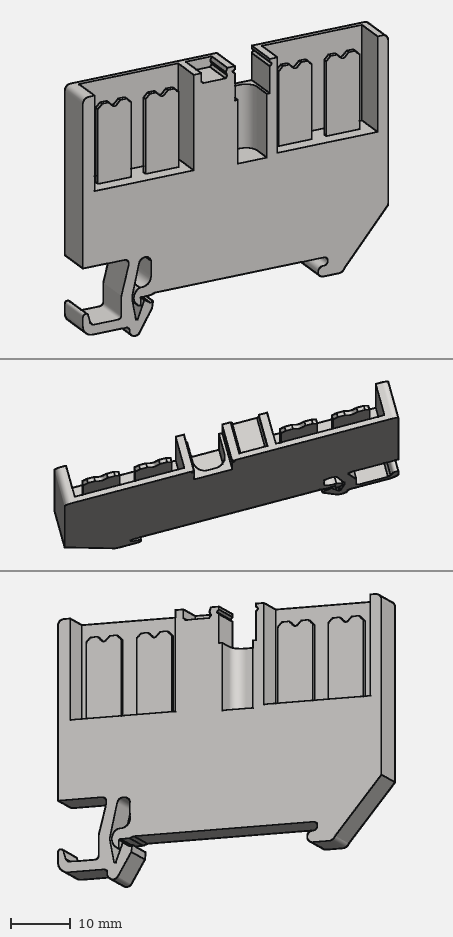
import cadquery as cq
import math

length = 58.0
thickness = 6.5
height = 45.35
half_length = length / 2
side_wall = 0.9
inner_width = thickness - side_wall

top_fillet = 1.1
shoulder_z = 14.25
rail_z = 7.15

notch_width = 6.6
notch_depth = 6.25
notch_y = 3.2
groove_depth = 0.4
groove_below_top = 0.9

round_chamber_width = 5.5
round_chamber_depth = 11.6
round_chamber_radius = 2.1

chamber_depth = 17.4
chamber_spans = ((7.95, 26.95), (-26.8, -7.95))
contact_centers = (21.7, 12.65, -12.65, -21.7)
contact_x = 3.3
contact_thickness = 0.75
contact_width = 6.3
contact_below_top = 2.95
outer_bevel = 0.8
fork_width = 2.2
fork_radius = 0.5

marker_start_y = -1.55
marker_end_y = -6.5
marker_depth = 1.85
marker_bead = 0.3
marker_bead_depth = 0.75
marker_undercut_depth = 1.4
marker_chamfer = 0.35

hook_z = 3.65
hook_tip_z = 5.6

slot_y = -16.05
slot_side_z = 13.1
arm_overlap = 1.15
arm_knee_y = -21.7
arm_knee_z = 7.85
pull_tab_z = 1.85
pull_tab_top_z = 3.65
pull_tab_radius = 1.85
arm_foot_radius = 0.7


def extrude_profile(profile, start_x, width):
    """Extrude a closed Y-Z profile along +X."""
    return profile.close().extrude(width).translate((start_x, 0, 0))


def start_profile(y, z):
    return cq.Workplane("YZ").moveTo(y, z)


def box_from_top(start_y, end_y, top_z, depth):
    """Chamber cutter reaching down from top_z, open towards +X."""
    return cq.Workplane("XY").box(
        inner_width, abs(end_y - start_y), depth, centered=(False, True, False)
    ).translate((side_wall, (start_y + end_y) / 2, top_z - depth))


def make_housing():
    profile = (
        start_profile(-half_length, shoulder_z)
        .lineTo(-half_length, height)
        .lineTo(half_length, height)
        .lineTo(half_length, shoulder_z)
        .lineTo(20.7, 4.4)
        .threePointArc((20.3, 3.9), (19.6, hook_z))
        .lineTo(16.65, hook_z)
        .threePointArc((15.65, 4.65), (16.5, hook_tip_z))
        .lineTo(16.8, hook_tip_z)
        .threePointArc((17.5, 6.4), (16.8, rail_z))
        .lineTo(-15.35, rail_z)
        .lineTo(-16.1, 6.85)
        .lineTo(-17.8, 6.85)
        .lineTo(-18.05, 6.65)
        .lineTo(-18.05, 5.35)
        .lineTo(-18.3, 5.35)
        .threePointArc((-19.3, 7.1), (-18.2, 8.65))
        .lineTo(-17.75, 8.65)
        .threePointArc((-16.55, 9.15), (slot_y, 10.3))
        .lineTo(slot_y, shoulder_z)
    )
    housing = extrude_profile(profile, 0, thickness)
    return housing.faces(">Z").edges("|X").fillet(top_fillet)


def make_latch():
    profile = (
        start_profile(slot_y, shoulder_z + arm_overlap)
        .lineTo(slot_y, slot_side_z)
        .threePointArc((-17.1, 14.0), (-18.4, 13.0))
        .lineTo(-19.65, 7.3)
        .lineTo(-19.65, 6.7)
        .lineTo(-18.9, 2.9)
        .lineTo(-18.6, 2.9)
        .lineTo(-17.35, 6.2)
        .lineTo(-16.1, 5.45)
        .lineTo(-15.65, 5.7)
        .lineTo(-15.85, 4.45)
        .lineTo(-18.25, 0.4)
        .threePointArc((-19.15, 0), (-20.1, 1.05))
        .threePointArc((-20.3, 1.6), (-20.7, pull_tab_z))
        .lineTo(-half_length + pull_tab_radius, pull_tab_z)
        .radiusArc((-half_length, pull_tab_z + pull_tab_radius), pull_tab_radius)
        .lineTo(-half_length, 5.4)
        .threePointArc((-28.5, 5.9), (-27.95, 5.4))
        .lineTo(-27.6, 4.2)
        .lineTo(-27.15, pull_tab_top_z)
        .lineTo(arm_knee_y - arm_foot_radius, pull_tab_top_z)
        .radiusArc((arm_knee_y, pull_tab_top_z + arm_foot_radius), -arm_foot_radius)
        .lineTo(arm_knee_y, arm_knee_z)
        .lineTo(-20.35, 13.0)
        .threePointArc((-20.4, 13.85), (-21.0, shoulder_z))
        .lineTo(-21.0, shoulder_z + arm_overlap)
    )
    return extrude_profile(profile, 0, thickness)


def notch_cutter():
    cutter = cq.Workplane("XY").box(
        thickness, notch_width, notch_depth, centered=(False, True, False)
    ).translate((0, notch_y, height - notch_depth))
    groove_z = height - groove_below_top
    for side in (-1, 1):
        wall_y = notch_y + side * notch_width / 2
        groove = (
            start_profile(wall_y, groove_z + groove_depth)
            .lineTo(wall_y + side * groove_depth, groove_z)
            .lineTo(wall_y, groove_z - groove_depth)
            .lineTo(notch_y, groove_z)
        )
        cutter = cutter.union(extrude_profile(groove, 0, thickness))
    return cutter


def round_chamber_cutter():
    half_width = round_chamber_width / 2
    cutter = box_from_top(
        notch_y - half_width, notch_y + half_width, height - notch_depth, round_chamber_depth
    )
    return cutter.edges("|Z and <X").fillet(round_chamber_radius)


def marker_pocket_cutter():
    floor_z = height - marker_depth
    profile = (
        start_profile(marker_start_y, height)
        .lineTo(marker_start_y - marker_bead, height - marker_bead_depth)
        .lineTo(marker_start_y, height - marker_undercut_depth)
        .lineTo(marker_start_y - marker_chamfer, floor_z)
        .lineTo(marker_end_y + marker_chamfer, floor_z)
        .lineTo(marker_end_y, floor_z + marker_chamfer)
        .lineTo(marker_end_y, height)
    )
    return extrude_profile(profile, side_wall, inner_width)


def make_contact(center_y):
    """Forked blade with bevelled prongs, standing on the chamber floor."""
    base_z = height - chamber_depth
    tip_z = height - contact_below_top
    half_width = contact_width / 2
    half_fork = fork_width / 2
    arc_half = fork_radius * math.sin(math.pi / 4)
    arc_end_z = tip_z - half_fork + arc_half
    arc_bottom_z = arc_end_z - fork_radius * (1 - math.cos(math.pi / 4))
    profile = (
        start_profile(center_y - half_width, base_z)
        .lineTo(center_y - half_width, tip_z - outer_bevel)
        .lineTo(center_y - half_width + outer_bevel, tip_z)
        .lineTo(center_y - half_fork, tip_z)
        .lineTo(center_y - arc_half, arc_end_z)
        .threePointArc((center_y, arc_bottom_z), (center_y + arc_half, arc_end_z))
        .lineTo(center_y + half_fork, tip_z)
        .lineTo(center_y + half_width - outer_bevel, tip_z)
        .lineTo(center_y + half_width, tip_z - outer_bevel)
        .lineTo(center_y + half_width, base_z)
    )
    return extrude_profile(profile, contact_x, contact_thickness)


result = make_housing().union(make_latch())
result = result.cut(notch_cutter())
result = result.cut(round_chamber_cutter())
result = result.cut(marker_pocket_cutter())
for chamber_start, chamber_end in chamber_spans:
    result = result.cut(box_from_top(chamber_start, chamber_end, height, chamber_depth))
for contact_center in contact_centers:
    result = result.union(make_contact(contact_center))